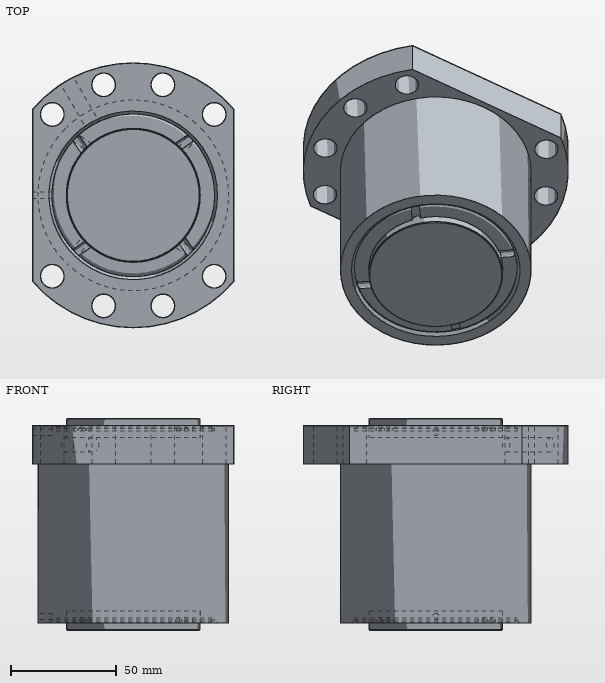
import cadquery as cq
import math

SHAFT_LENGTH = 100.0
NUT_LENGTH = 93.2
FLANGE_THICKNESS = 18.2

BODY_DIAMETER = 90.0
FLANGE_DIAMETER = 125.0
FLANGE_WIDTH = 95.0

SHAFT_DIAMETER = 63.0
SHAFT_CHAMFER = 0.4

RING_DIAMETER = 76.8
RING_HEIGHT = 5.0
RING_RECESS = 0.6
RING_FILLET = 1.9
RING_BORE_DIAMETER = 63.2
MOUTH_CHAMFER = 1.4

SLOT_COUNT = 4
SLOT_DIAMETER = 4.0
SLOT_POSITION_ANGLE = 45.0
SLOT_DIRECTION_ANGLE = 35.0

BOLT_CIRCLE_RADIUS = 54.0
BOLT_HOLE_DIAMETER = 11.0
BOLT_ANGLES = (45.0, 75.0, 105.0, 135.0)

OIL_HOLE_DIAMETER = 6.9
OIL_HOLE_ANGLE = 120.0
SET_SCREW_DIAMETER = 3.0
SET_SCREW_ANGLE = 180.0
SET_SCREW_INSET = 3.1

NUT_TOP = NUT_LENGTH / 2
FLANGE_BOTTOM = NUT_TOP - FLANGE_THICKNESS
SHAFT_RADIUS = SHAFT_DIAMETER / 2
RING_FACE = NUT_TOP - RING_RECESS
RING_BOTTOM = RING_FACE - RING_HEIGHT
RING_RADIUS = RING_DIAMETER / 2
FLANGE_RADIUS = FLANGE_DIAMETER / 2


def polar(radius, angle):
    """Point in the XY plane at an angle in degrees."""
    return radius * math.cos(math.radians(angle)), radius * math.sin(math.radians(angle))


def horizontal_cylinder(diameter, start_radius, end_radius, angle, z):
    """Cylinder along a radial line, between two distances from the Z axis."""
    start = cq.Vector(*polar(start_radius, angle), z)
    direction = cq.Vector(*polar(1.0, angle), 0)
    cylinder = cq.Solid.makeCylinder(diameter / 2, end_radius - start_radius, start, direction)
    return cq.Workplane(obj=cylinder)


def make_nut():
    """Round body with a flange cut off flat on two sides."""
    body = cq.Workplane("XY").circle(BODY_DIAMETER / 2).extrude(NUT_LENGTH)
    body = body.translate((0, 0, -NUT_TOP))
    flange = cq.Workplane("XY").circle(FLANGE_RADIUS).extrude(FLANGE_THICKNESS)
    flats = cq.Workplane("XY").box(FLANGE_WIDTH, FLANGE_DIAMETER, 2 * FLANGE_THICKNESS)
    flange = flange.intersect(flats).translate((0, 0, FLANGE_BOTTOM))
    return body.union(flange)


def make_seat():
    """Pocket for the top wiper ring, chamfered at the nut end."""
    profile = [
        (0, RING_BOTTOM),
        (RING_RADIUS, RING_BOTTOM),
        (RING_RADIUS, NUT_TOP - MOUTH_CHAMFER),
        (RING_RADIUS + MOUTH_CHAMFER, NUT_TOP),
        (0, NUT_TOP),
    ]
    return cq.Workplane("XZ").polyline(profile).close().revolve(360, (0, 0, 0), (0, 1, 0))


def make_slot():
    """Bar for one half-round slot, skewed from the radial line at the ring's rim."""
    rim_point = cq.Vector(*polar(RING_RADIUS, SLOT_POSITION_ANGLE), RING_FACE)
    direction = cq.Vector(*polar(1.0, SLOT_DIRECTION_ANGLE), 0)
    half_length = RING_RADIUS - SHAFT_RADIUS + SLOT_DIAMETER
    start = rim_point - direction * half_length
    return cq.Workplane(obj=cq.Solid.makeCylinder(SLOT_DIAMETER / 2, 2 * half_length, start, direction))


def make_ring():
    """Top wiper ring with a rounded rim and evenly spaced slots across its face."""
    ring = cq.Workplane("XY").circle(RING_RADIUS).extrude(RING_HEIGHT)
    ring = ring.faces(">Z").edges().fillet(RING_FILLET)
    ring = ring.cut(cq.Workplane("XY").circle(RING_BORE_DIAMETER / 2).extrude(RING_HEIGHT))
    ring = ring.translate((0, 0, RING_BOTTOM))
    for index in range(SLOT_COUNT):
        ring = ring.cut(make_slot().rotate((0, 0, 0), (0, 0, 1), index * 360 / SLOT_COUNT))
    return ring


def turned_over(shape):
    """Copy of a top-end shape, turned about X to the bottom end."""
    return shape.rotate((0, 0, 0), (1, 0, 0), 180)


def make_shaft():
    shaft = cq.Workplane("XY").circle(SHAFT_RADIUS).extrude(SHAFT_LENGTH)
    shaft = shaft.faces("<Z or >Z").chamfer(SHAFT_CHAMFER)
    return shaft.translate((0, 0, -SHAFT_LENGTH / 2))


def make_bolt_holes():
    upper = [polar(BOLT_CIRCLE_RADIUS, angle) for angle in BOLT_ANGLES]
    lower = [(x, -y) for x, y in upper]
    holes = cq.Workplane("XY").pushPoints(upper + lower).circle(BOLT_HOLE_DIAMETER / 2)
    return holes.extrude(FLANGE_THICKNESS).translate((0, 0, FLANGE_BOTTOM))


seat = make_seat()
nut = make_nut().cut(seat).cut(turned_over(seat)).cut(make_bolt_holes())

flange_middle = NUT_TOP - FLANGE_THICKNESS / 2
oil_hole = horizontal_cylinder(OIL_HOLE_DIAMETER, RING_RADIUS, FLANGE_RADIUS, OIL_HOLE_ANGLE, flange_middle)
nut = nut.cut(oil_hole)

set_screw_height = NUT_TOP - SET_SCREW_INSET
for height in (set_screw_height, -set_screw_height):
    hole = horizontal_cylinder(SET_SCREW_DIAMETER, SHAFT_RADIUS, FLANGE_WIDTH / 2, SET_SCREW_ANGLE, height)
    nut = nut.cut(hole)

ring = make_ring()
result = nut.union(ring).union(turned_over(ring)).union(make_shaft())